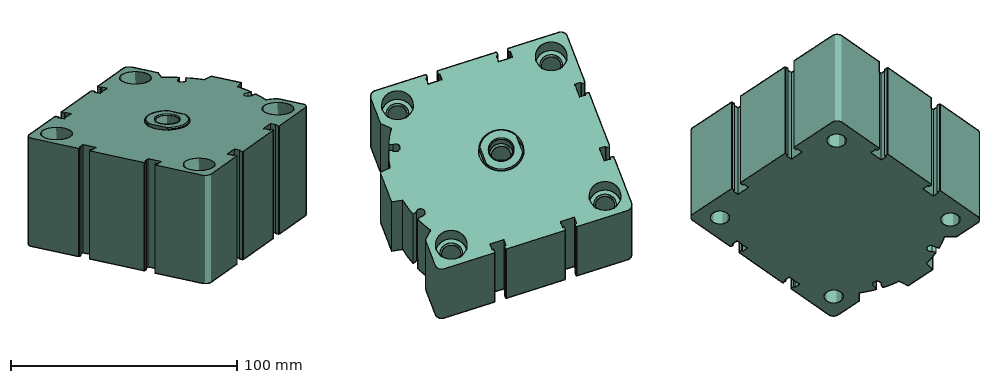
import cadquery as cq
import math

half_side = 46.0
height = 52.0
corner_radius = 3.0
crown_radius = 49.8
notch_start = 30.0

tab_top = 54.0
tab_half_top = 7.6
tab_half_base = 8.4

slot_offset = 16.5
slot_opening = 5.0
slot_width = 6.5
slot_depth = 4.7
slot_lip = 1.8
slot_chamfer = 0.3

groove_angle = 21.0
groove_neck = 3.0
groove_bulb_diameter = 3.8
groove_center_radius = 46.7

mount_offset = 36.0
mount_diameter = 8.5
mount_bore_diameter = 14.0
mount_bore_depth = 9.0
mount_sink_diameter = 10.0

rod_diameter = 20.0
rod_protrusion = 1.0
rod_length = 45.0
rod_chamfer = 0.5
flat_width = 17.0
flat_length = 5.0

mouth_diameter = 11.5
relief_diameter = 10.5
relief_depth = 5.0
tap_diameter = 8.6
tap_depth = 20.0
drill_point_angle = 118.0

rod_top = height + rod_protrusion
rod_bottom = rod_top - rod_length


def crown_y(x):
    """Height of the crown arc above the rod axis at a given x."""
    return math.sqrt(crown_radius**2 - x**2)


def make_block():
    rise = half_side - notch_start
    notch_x = (math.sqrt(2 * crown_radius**2 - rise**2) - rise) / 2
    notch_y = notch_x + rise
    mid_x = (notch_x + tab_half_base) / 2

    block = (
        cq.Workplane("XY")
        .moveTo(-half_side, -half_side)
        .lineTo(half_side, -half_side)
        .lineTo(half_side, half_side)
        .lineTo(notch_start, half_side)
        .lineTo(notch_x, notch_y)
        .threePointArc((mid_x, crown_y(mid_x)), (tab_half_base, crown_y(tab_half_base)))
        .lineTo(tab_half_top, tab_top)
        .lineTo(-tab_half_top, tab_top)
        .lineTo(-tab_half_base, crown_y(tab_half_base))
        .threePointArc((-mid_x, crown_y(mid_x)), (-notch_x, notch_y))
        .lineTo(-notch_start, half_side)
        .lineTo(-half_side, half_side)
        .close()
        .extrude(height)
    )
    return block.edges("|Z and (<X or >X)").fillet(corner_radius)


def make_side_slot():
    """T-slot cutter opening on the -Y side, centred on x = 0."""
    half_opening = slot_opening / 2
    half_width = slot_width / 2
    half_mouth = half_opening + slot_chamfer
    face_y = -half_side
    lip_y = face_y + slot_lip
    floor_y = face_y + slot_depth
    return (
        cq.Workplane("XY")
        .moveTo(-half_mouth, face_y)
        .lineTo(-half_opening, face_y + slot_chamfer)
        .lineTo(-half_opening, lip_y)
        .lineTo(-half_width, lip_y)
        .lineTo(-half_width, floor_y)
        .lineTo(half_width, floor_y)
        .lineTo(half_width, lip_y)
        .lineTo(half_opening, lip_y)
        .lineTo(half_opening, face_y + slot_chamfer)
        .lineTo(half_mouth, face_y)
        .close()
        .extrude(height)
    )


def make_crown_groove():
    """Keyhole cutter on the +Y axis: a round bulb with a straight neck out through the crown."""
    neck_length = tab_top - groove_center_radius
    neck = (
        cq.Workplane("XY")
        .center(0, groove_center_radius + neck_length / 2)
        .rect(groove_neck, neck_length)
        .extrude(height)
    )
    bulb = (
        cq.Workplane("XY")
        .center(0, groove_center_radius)
        .circle(groove_bulb_diameter / 2)
        .extrude(height)
    )
    return neck.union(bulb)


def make_mount_hole():
    """Cutter for a counterbored through hole with a countersunk edge on the counterbore floor."""
    radius = mount_diameter / 2
    bore_radius = mount_bore_diameter / 2
    sink_radius = mount_sink_diameter / 2
    floor_z = height - mount_bore_depth
    sink_z = floor_z - (sink_radius - radius)
    return (
        cq.Workplane("XZ")
        .moveTo(0, 0)
        .lineTo(radius, 0)
        .lineTo(radius, sink_z)
        .lineTo(sink_radius, floor_z)
        .lineTo(bore_radius, floor_z)
        .lineTo(bore_radius, height)
        .lineTo(0, height)
        .close()
        .revolve(360, (0, 0, 0), (0, 1, 0))
    )


def make_housing():
    housing = make_block()

    slot = make_side_slot()
    for turn in (-90, 0, 90):
        for offset in (-slot_offset, slot_offset):
            housing = housing.cut(slot.translate((offset, 0, 0)).rotate((0, 0, 0), (0, 0, 1), turn))

    groove = make_crown_groove()
    for angle in (-groove_angle, groove_angle):
        housing = housing.cut(groove.rotate((0, 0, 0), (0, 0, 1), angle))

    mount_hole = make_mount_hole()
    for x in (-mount_offset, mount_offset):
        for y in (-mount_offset, mount_offset):
            housing = housing.cut(mount_hole.translate((x, y, 0)))

    rod_bore = (
        cq.Workplane("XY", origin=(0, 0, rod_bottom))
        .circle(rod_diameter / 2)
        .extrude(height - rod_bottom)
    )
    return housing.cut(rod_bore)


def make_rod_hole():
    """Cutter for the rod end: chamfered mouth, thread relief, tap drill and drill point."""
    mouth_radius = mouth_diameter / 2
    relief_radius = relief_diameter / 2
    tap_radius = tap_diameter / 2
    mouth_z = rod_top - (mouth_radius - relief_radius)
    relief_z = rod_top - relief_depth
    tap_start_z = relief_z - (relief_radius - tap_radius)
    tap_end_z = rod_top - tap_depth
    point_z = tap_end_z - tap_radius / math.tan(math.radians(drill_point_angle / 2))
    return (
        cq.Workplane("XZ")
        .moveTo(0, point_z)
        .lineTo(tap_radius, tap_end_z)
        .lineTo(tap_radius, tap_start_z)
        .lineTo(relief_radius, relief_z)
        .lineTo(relief_radius, mouth_z)
        .lineTo(mouth_radius, rod_top)
        .lineTo(0, rod_top)
        .close()
        .revolve(360, (0, 0, 0), (0, 1, 0))
    )


def make_rod():
    rod = (
        cq.Workplane("XY", origin=(0, 0, rod_bottom))
        .circle(rod_diameter / 2)
        .extrude(rod_length)
        .faces(">Z")
        .chamfer(rod_chamfer)
    )

    flat_cut = (rod_diameter - flat_width) / 2
    for side in (-1, 1):
        flat = (
            cq.Workplane("XY", origin=(0, side * (flat_width + flat_cut) / 2, rod_top - flat_length))
            .rect(rod_diameter, flat_cut)
            .extrude(flat_length)
        )
        rod = rod.cut(flat)

    return rod.cut(make_rod_hole())


housing = make_housing()
piston_rod = make_rod()

result = cq.Compound.makeCompound([housing.val(), piston_rod.val()])